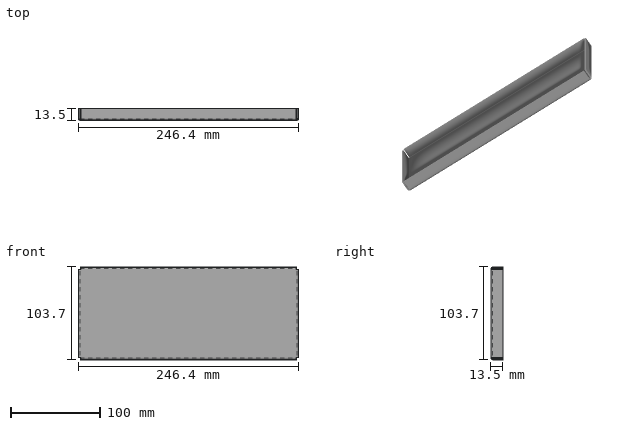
import cadquery as cq

length = 246.44
depth = 13.48
height = 103.7
sheet_thickness = 1.7
inner_bend_radius = 0.74
outer_bend_radius = inner_bend_radius + sheet_thickness

panel_length = length - 2 * outer_bend_radius
panel_height = height - 2 * outer_bend_radius
front_y = -depth / 2


def make_panel():
    """Flat front panel, between the four bend lines."""
    panel_y = front_y + sheet_thickness / 2
    return cq.Workplane("XY").box(panel_length, sheet_thickness, panel_height).translate((0, panel_y, 0))


def make_flange(edge_length, panel_span):
    """Bend and flange on the +X edge of a panel that is panel_span wide."""
    bend_start = panel_span / 2
    outer_face = bend_start + outer_bend_radius
    inner_face = outer_face - sheet_thickness
    bend_end_y = front_y + outer_bend_radius
    rim_y = front_y + depth
    return (
        cq.Workplane("XY")
        .workplane(offset=-edge_length / 2)
        .moveTo(bend_start, front_y)
        .radiusArc((outer_face, bend_end_y), -outer_bend_radius)
        .lineTo(outer_face, rim_y)
        .lineTo(inner_face, rim_y)
        .lineTo(inner_face, bend_end_y)
        .radiusArc((bend_start, front_y + sheet_thickness), inner_bend_radius)
        .close()
        .extrude(edge_length)
    )


def turn_about_y(shape, angle):
    """Rotate a shape about the Y axis through the panel centre."""
    return shape.rotate((0, 0, 0), (0, 1, 0), angle)


side_flange = make_flange(panel_height, panel_length)
long_flange = make_flange(panel_length, panel_height)

result = make_panel()
for half_turn in (0, 180):
    result = result.union(turn_about_y(side_flange, half_turn))
    result = result.union(turn_about_y(long_flange, half_turn + 90))